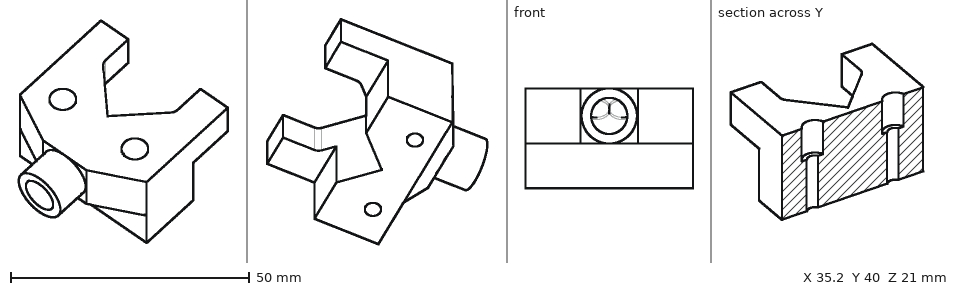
import cadquery as cq
import math

width = 35.2
length = 40.0
height = 21.0

arm_thickness = 8.1
nose_height = 11.6
nose_face_width = 12.0
shoulder_y = 14.0

base_back_y = 28.95

mouth_width = 20.0
vee_bottom_y = 21.85
mouth_fillet = 2.0

stem_length = 8.1
stem_diameter = nose_height
bore_diameter = 7.6
bore_depth = 11.45

screw_spacing = mouth_width
screw_y = 19.0
screw_diameter = 3.4
counterbore_diameter = 5.6
counterbore_depth = arm_thickness

passage_diameter = 3.6
passage_drop = 4.3
passage_angle = math.radians(45)
passage_fillet = 0.5

stem_axis_z = height - stem_diameter / 2


def plate(outline, thickness):
    """Extrude an XY outline downwards from the top face."""
    return cq.Workplane("XY").workplane(offset=height).polyline(outline).close().extrude(-thickness)


def rectangle(x_size, front_y, back_y):
    """Corner points of a rectangle centred on X = 0."""
    half = x_size / 2
    return [(-half, front_y), (half, front_y), (half, back_y), (-half, back_y)]


def stem_rod(diameter, start_y, end_y):
    """Cylinder on the stem axis."""
    start = cq.Vector(0, start_y, stem_axis_z)
    return cq.Workplane(cq.Solid.makeCylinder(diameter / 2, end_y - start_y, start, cq.Vector(0, 1, 0)))


def body():
    """Fork plate, base block, tapered nose and stem in one solid."""
    fork = plate(rectangle(width, shoulder_y, length), arm_thickness)
    base = plate(rectangle(width, shoulder_y, base_back_y), height)
    nose = plate(
        [
            (-width / 2, shoulder_y),
            (-nose_face_width / 2, stem_length),
            (nose_face_width / 2, stem_length),
            (width / 2, shoulder_y),
        ],
        nose_height,
    )
    stem = stem_rod(stem_diameter, 0, stem_length)
    return base.union(fork).union(nose).union(stem)


def mouth():
    """Opening between the arms, rounded where its sides turn into the V."""
    half = mouth_width / 2
    corner_y = vee_bottom_y + half
    outline = [(0, vee_bottom_y), (half, corner_y), (half, length), (-half, length), (-half, corner_y)]
    corners = [(-half, corner_y, height / 2), (half, corner_y, height / 2)]
    opening = plate(outline, height)
    for corner in corners:
        opening = opening.edges(cq.NearestToPointSelector(corner)).fillet(mouth_fillet)
    return opening


def left_passage():
    """Slanted passage behind the bore floor, with a rounded entry inside the bore."""
    start = cq.Vector(-screw_spacing / 2, screw_y, height - passage_drop)
    direction = cq.Vector(math.sin(passage_angle), -math.cos(passage_angle), 0)
    run_to_floor = (screw_y - bore_depth) / math.cos(passage_angle)
    run = run_to_floor + passage_diameter
    cylinder = cq.Workplane(cq.Solid.makeCylinder(passage_diameter / 2, run, start, direction))

    wall = plate(rectangle(width, bore_depth, length), height)
    pierced = wall.cut(cylinder)
    rounded = pierced.faces("<Y").edges("%ELLIPSE").fillet(passage_fillet)
    flared_entry = wall.cut(rounded).intersect(stem_rod(bore_diameter, 0, screw_y))
    return cylinder.intersect(wall).union(flared_entry)


result = body().cut(mouth()).cut(stem_rod(bore_diameter, 0, bore_depth))

result = (
    result.faces(">Z")
    .workplane(origin=(0, screw_y, height))
    .pushPoints([(-screw_spacing / 2, 0), (screw_spacing / 2, 0)])
    .cboreHole(screw_diameter, counterbore_diameter, counterbore_depth)
)

passage = left_passage()
result = result.cut(passage).cut(passage.mirror("YZ")).solids()